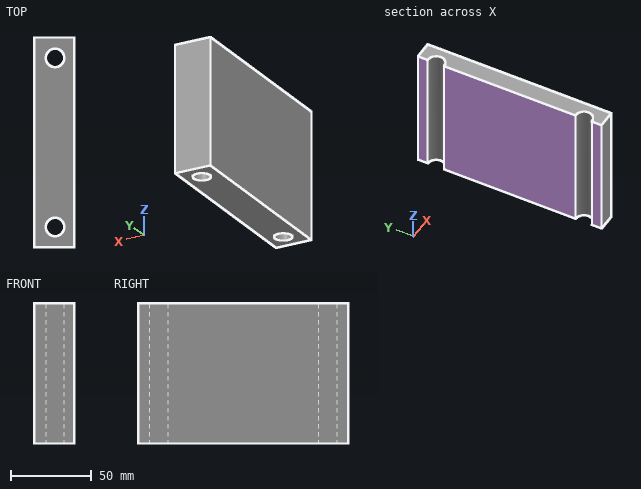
import cadquery as cq

width = 25.0
length = 130.0
height = 87.0

hole_diameter = 11.3
hole_spacing = 104.6
hole_offset_x = 0.5


def make_block():
    return cq.Workplane("XY").box(width, length, height)


def drill_end_holes(body):
    hole_centers = [(hole_offset_x, side * hole_spacing / 2) for side in (-1, 1)]
    return body.faces(">Z").workplane(origin=(0, 0, 0)).pushPoints(hole_centers).hole(hole_diameter)


result = drill_end_holes(make_block())